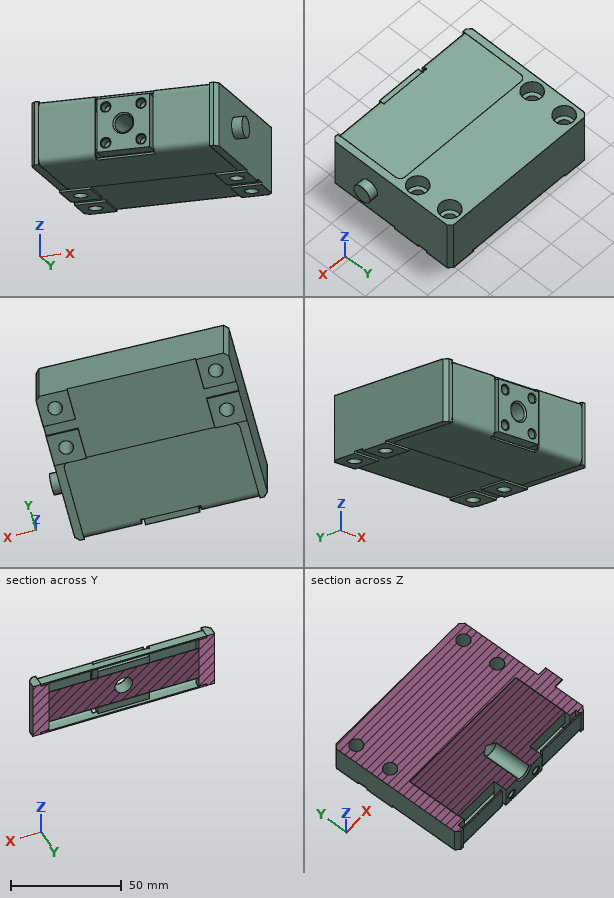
import cadquery as cq

housing_width = 90.0
housing_depth = 74.0
housing_height = 30.0
corner_chamfer = 2.0
pad_size = 15.0
pad_height = 1.0
housing_bottom = pad_height
housing_top = housing_bottom + housing_height
mid_z = housing_bottom + housing_height / 2

hole_edge_distance = pad_size / 2
hole_spacing_y = 20.0
hole_diameter = 6.6
counterbore_diameter = 11.0
counterbore_depth = 7.5

connector_diameter = 10.0
connector_length = 5.0
connector_y = 23.5

cover_width = 82.0
cover_depth = 39.0
cover_thickness = 1.0
cover_bend_radius = 3.0
cover_corner_radius = 3.0
cover_window_width = 28.0

cavity_width = 74.0
cavity_depth = 35.0

head_size = 25.3
head_protrusion = 1.0
crossbar_height = 17.8
crossbar_front_y = 6.0

corner_hole_spacing = 17.0
corner_thread_diameter = 5.0
corner_core_diameter = 4.2
corner_hole_depth = 5.0
centre_thread_diameter = 10.0
centre_core_diameter = 8.5
centre_hole_depth = 20.0
drill_tip_ratio = 0.3

mount_x = housing_width / 2 - hole_edge_distance
mount_y_rear = housing_depth - hole_edge_distance
mount_points = [
    (x, y)
    for x in (-mount_x, mount_x)
    for y in (mount_y_rear, mount_y_rear - hole_spacing_y)
]


def block(width, y_front, y_back, z_bottom, z_top):
    """Box centred on X between the given Y and Z limits."""
    return (
        cq.Workplane("XY")
        .box(width, y_back - y_front, z_top - z_bottom, centered=(True, False, False))
        .translate((0, y_front, z_bottom))
    )


def cover_envelope():
    """Solid outline of the cover, with rounded front bends and rear corners."""
    envelope = block(cover_width, 0, cover_depth, housing_bottom, housing_top)
    envelope = envelope.edges("|X and <Y").fillet(cover_bend_radius)
    return envelope.edges("|Z and >Y").fillet(cover_corner_radius)


def cover_core():
    """Space inside the bent sheet of the cover."""
    core = block(
        cover_width,
        cover_thickness,
        cover_depth,
        housing_bottom + cover_thickness,
        housing_top - cover_thickness,
    )
    return core.edges("|X and <Y").fillet(cover_bend_radius - cover_thickness)


def make_cover():
    window = block(cover_window_width, 0, cover_bend_radius, housing_bottom, housing_top)
    return cover_envelope().cut(cover_core()).cut(window)


def make_housing():
    outline = (
        cq.Workplane("XY")
        .rect(housing_width, housing_depth)
        .extrude(housing_top)
        .edges("|Z")
        .chamfer(corner_chamfer)
        .translate((0, housing_depth / 2, 0))
    )

    pads = (
        cq.Workplane("XY")
        .pushPoints(mount_points)
        .rect(pad_size, pad_size)
        .extrude(pad_height)
    )
    below_housing = block(housing_width, 0, housing_depth, 0, housing_bottom)
    housing = outline.cut(below_housing.cut(pads))

    front_strip = block(cover_width, 0, cover_bend_radius, housing_bottom, housing_top)
    housing = housing.cut(make_cover()).cut(front_strip)

    cavity = block(cavity_width, 0, cavity_depth, housing_bottom, housing_top)
    housing = housing.cut(cavity)

    housing = (
        housing.faces(">Z")
        .workplane(origin=(0, 0, housing_top))
        .pushPoints(mount_points)
        .cboreHole(hole_diameter, counterbore_diameter, counterbore_depth)
    )

    connector = (
        cq.Workplane("YZ", origin=(housing_width / 2, connector_y, mid_z))
        .circle(connector_diameter / 2)
        .extrude(connector_length)
    )
    return housing.union(connector)


def tapped_hole(x, z, thread_diameter, core_diameter, depth):
    """Cutter for a blind hole along +Y with a countersunk mouth and a conical tip."""
    core_radius = core_diameter / 2
    thread_radius = thread_diameter / 2
    countersink_depth = thread_radius - core_radius
    tip_depth = depth + drill_tip_ratio * core_diameter
    return (
        cq.Workplane("XY")
        .lineTo(thread_radius, 0)
        .lineTo(core_radius, countersink_depth)
        .lineTo(core_radius, depth)
        .lineTo(0, tip_depth)
        .close()
        .revolve(360, (0, 0, 0), (0, 1, 0))
        .translate((x, -head_protrusion, z))
    )


def make_plunger():
    half_head = head_size / 2
    half_bar = crossbar_height / 2
    head = block(
        head_size, -head_protrusion, crossbar_front_y, mid_z - half_head, mid_z + half_head
    )
    crossbar = block(
        cavity_width, crossbar_front_y, cavity_depth, mid_z - half_bar, mid_z + half_bar
    )
    plunger = head.union(crossbar)

    offset = corner_hole_spacing / 2
    for x in (-offset, offset):
        for z in (mid_z - offset, mid_z + offset):
            plunger = plunger.cut(
                tapped_hole(x, z, corner_thread_diameter, corner_core_diameter, corner_hole_depth)
            )
    return plunger.cut(
        tapped_hole(0, mid_z, centre_thread_diameter, centre_core_diameter, centre_hole_depth)
    )


housing = make_housing()
cover = make_cover()
plunger = make_plunger()

result = cq.Compound.makeCompound([housing.val(), cover.val(), plunger.val()])